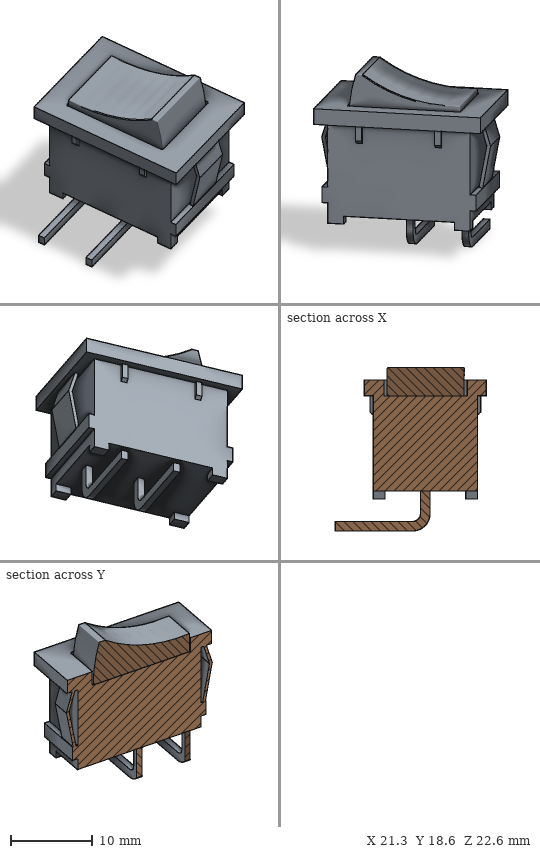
import cadquery as cq
import math


underside_z = 4.93
foot_drop = 1.0
ledge_bottom_z = 6.5
ledge_top_z = 8.52
clip_kink_z = 13.85
flange_bottom_z = 16.63
flange_thickness = 2.0
flange_top_z = flange_bottom_z + flange_thickness
crown_z = 22.6

flange_length = 21.06
flange_width = 15.05
body_length = 18.0
body_width = 12.88
ledge_length = 19.48
foot_length = 2.0
foot_width = 1.5

rib_spacing = 10.0
rib_width = 0.77
rib_depth = 0.38
rib_height = 2.35

clip_width = 5.02
clip_thickness = 0.47
overall_length = 21.33
clip_reach = overall_length / 2
clip_top_reach = 9.83
clip_bottom_reach = 9.67

rocker_left_x = -7.35
rocker_right_x = 6.75
rocker_width = 9.54
rocker_centre_y = 0.05
rocker_edge_radius = 0.11
crown_left_x = 4.97
dish_low_x = -5.88
dish_low_z = 19.23
dish_run = crown_left_x - dish_low_x
dish_rise = crown_z - dish_low_z
dish_radius = (dish_run**2 + dish_rise**2) / (2 * dish_rise)
end_radius = 20.35

opening_gap_x = 0.1
opening_gap_y = 0.35
opening_corner_radius = 0.27

pin_spacing = 7.03
pin_thickness_x = 0.85
pin_thickness = 1.2
pin_inner_bend = 1.0
overall_width = 18.65
pin_tip_y = flange_width / 2 - overall_width


def block(length, width, bottom_z, top_z):
    """Box centred on the Z axis between two heights."""
    height = top_z - bottom_z
    return cq.Workplane("XY").workplane(offset=bottom_z).rect(length, width).extrude(height)


def extrude_along_y(outline, width):
    """Extrude an XZ outline by the given width, centred on Y = 0."""
    return outline.extrude(width / 2, both=True)


def make_feet():
    bottom_z = underside_z - foot_drop
    return (
        cq.Workplane("XY").workplane(offset=bottom_z)
        .rect(body_length - foot_length, body_width - foot_width, forConstruction=True)
        .vertices()
        .rect(foot_length, foot_width)
        .extrude(foot_drop)
    )


def make_rib_pair(x):
    """One bar across the body; its bevelled ends form a rib on each long side."""
    body_y = body_width / 2
    rib_y = body_y + rib_depth
    bottom_z = flange_bottom_z - rib_height
    right_side = [(body_y, bottom_z), (rib_y, bottom_z + rib_depth), (rib_y, flange_bottom_z)]
    left_side = [(-y, z) for y, z in reversed(right_side)]
    profile = cq.Workplane("YZ").polyline(right_side + left_side).close()
    return profile.extrude(rib_width / 2, both=True).translate((x, 0, 0))


def make_right_clip():
    outer = [
        (clip_top_reach, flange_bottom_z),
        (clip_reach, clip_kink_z),
        (clip_bottom_reach, ledge_top_z),
    ]
    inner = [(x - clip_thickness, z) for x, z in reversed(outer)]
    return extrude_along_y(cq.Workplane("XZ").polyline(outer + inner).close(), clip_width)


def make_opening():
    """Recess through the flange thickness in which the rocker sits."""
    length = rocker_right_x - rocker_left_x + 2 * opening_gap_x
    width = rocker_width + 2 * opening_gap_y
    centre_x = (rocker_left_x + rocker_right_x) / 2
    recess = block(length, width, flange_bottom_z, flange_top_z)
    return recess.edges("|Z").fillet(opening_corner_radius).translate((centre_x, rocker_centre_y, 0))


def make_housing():
    housing = block(flange_length, flange_width, flange_bottom_z, flange_top_z)
    housing = housing.union(block(body_length, body_width, underside_z, flange_bottom_z))
    housing = housing.union(block(ledge_length, body_width, ledge_bottom_z, ledge_top_z))
    housing = housing.union(make_feet())
    for side in (-1, 1):
        housing = housing.union(make_rib_pair(side * rib_spacing / 2))
    clip = make_right_clip()
    housing = housing.union(clip).union(clip.mirror("YZ"))
    return housing.cut(make_opening())


def dish_z(x):
    """Height of the dished rocker top at x."""
    return dish_low_z + dish_radius - math.sqrt(dish_radius**2 - (x - dish_low_x) ** 2)


def end_x(z):
    """X of the curved rocker end face at height z."""
    return rocker_right_x - end_radius + math.sqrt(end_radius**2 - (z - flange_bottom_z) ** 2)


def make_rocker():
    seat_z = flange_bottom_z
    dish_middle_x = (rocker_left_x + crown_left_x) / 2
    end_middle_z = (seat_z + crown_z) / 2
    outline = (
        cq.Workplane("XZ")
        .moveTo(rocker_left_x, seat_z)
        .lineTo(rocker_left_x, dish_z(rocker_left_x))
        .threePointArc((dish_middle_x, dish_z(dish_middle_x)), (crown_left_x, crown_z))
        .lineTo(end_x(crown_z), crown_z)
        .threePointArc((end_x(end_middle_z), end_middle_z), (rocker_right_x, seat_z))
        .close()
    )
    rocker = extrude_along_y(outline, rocker_width)

    seat_edges = cq.selectors.BoxSelector(
        (-flange_length, -flange_width, seat_z - rocker_edge_radius),
        (flange_length, flange_width, seat_z + rocker_edge_radius),
    )
    crown_line = cq.selectors.NearestToPointSelector((crown_left_x, 0, crown_z))
    rounded = rocker.edges(cq.selectors.InverseSelector(cq.selectors.SumSelector(seat_edges, crown_line)))
    return rounded.fillet(rocker_edge_radius).translate((0, rocker_centre_y, 0))


def make_pin(x):
    """L-shaped pin: down from the housing floor, then out toward -Y."""
    half = pin_thickness / 2
    bend_outer = pin_inner_bend + pin_thickness
    profile = (
        cq.Workplane("YZ")
        .moveTo(half, underside_z)
        .lineTo(half, bend_outer)
        .radiusArc((half - bend_outer, 0), bend_outer)
        .lineTo(pin_tip_y, 0)
        .lineTo(pin_tip_y, pin_thickness)
        .lineTo(half - bend_outer, pin_thickness)
        .radiusArc((-half, bend_outer), -pin_inner_bend)
        .lineTo(-half, underside_z)
        .close()
    )
    return profile.extrude(pin_thickness_x / 2, both=True).translate((x, 0, 0))


housing = make_housing()
rocker = make_rocker()
pins = [make_pin(x) for x in (-pin_spacing, 0)]

result = cq.Compound.makeCompound([housing.val(), rocker.val(), *[pin.val() for pin in pins]])